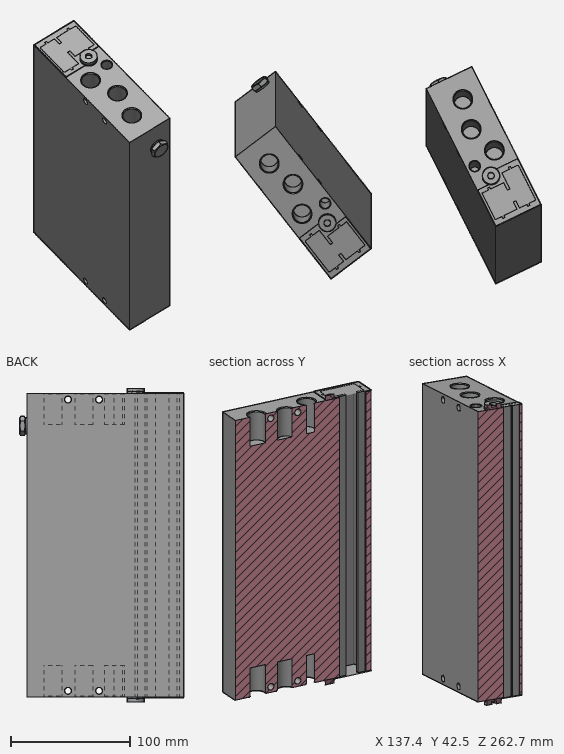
import cadquery as cq
import math


housing_width = 131.4
housing_depth = 42.5
overall_height = 262.7

plate_thickness = 0.65
plate_inset = 0.4
plate_corner_radius = 1.0
plate_back_width = 34.7
plate_front_width = 44.0
boss_height = 0.65
boss_diameter = 14.7
head_diameter = 14.5
head_height = 3.0
head_x = 40.2
head_y = 5.8
socket_diameter = 5.5
socket_depth = 2.4
cap_height = plate_thickness + boss_height + head_height
housing_height = overall_height - 2 * cap_height

channel_left = 5.5
back_chamber_right = 30.7
front_chamber_right = 39.0
channel_half_depth = 19.0
back_chamber_front = -1.3
front_chamber_back = -3.7
neck_left = 12.3
neck_right = 23.6
groove_depth = 1.8
groove_width = 1.8
back_groove_y = 11.8
front_groove_y = -11.5
front_chamber_radius = 1.0

port_diameter = 15.0
pilot_diameter = 8.7
port_depth = 26.3
port_chamfer = 0.8
pilot_chamfer = 0.5
port_places = [(58.8, -6.5), (83.5, 3.0), (109.5, -2.0)]
pilot_place = (54.0, 14.2)

mount_diameter = 5.5
mount_columns = [71.0, 97.0]
mount_z = 122.0

plug_length = 6.0
collar_diameter = 14.0
collar_length = 1.3
hex_across_flats = 14.2
hex_end_diameter = 13.1
hex_chamfer_angle = math.radians(30)
plug_y = 7.5
plug_z = 99.8


def box_between(x_min, x_max, y_min, y_max, z_min, z_max):
    """Axis-aligned box from its limits."""
    size = (x_max - x_min, y_max - y_min, z_max - z_min)
    return cq.Workplane("XY").box(*size, centered=False).translate((x_min, y_min, z_min))


def mirror_down(shape):
    """Copy of a feature of the top end, placed at the bottom end."""
    return shape.mirror("XY")


def wiring_channel():
    """Cutter for the channel that runs the full height of the housing."""
    z_limits = (-housing_height / 2, housing_height / 2)
    channel = box_between(
        channel_left, front_chamber_right, -channel_half_depth, front_chamber_back, *z_limits
    ).edges("|Z and <Y").fillet(front_chamber_radius)
    channel = channel.union(
        box_between(channel_left, back_chamber_right, back_chamber_front, channel_half_depth, *z_limits)
    )
    channel = channel.union(
        box_between(neck_left, neck_right, front_chamber_back, back_chamber_front, *z_limits)
    )
    for chamber_right, groove_y in (
        (back_chamber_right, back_groove_y),
        (front_chamber_right, front_groove_y),
    ):
        channel = channel.union(
            box_between(
                channel_left - groove_depth,
                chamber_right + groove_depth,
                groove_y - groove_width / 2,
                groove_y + groove_width / 2,
                *z_limits,
            )
        )
    return channel


def port(place, diameter, chamfer):
    """Cutter for a blind port with a chamfered mouth in the top end face."""
    radius = diameter / 2
    top = housing_height / 2
    profile = [
        (0, top - port_depth),
        (radius, top - port_depth),
        (radius, top - chamfer),
        (radius + chamfer, top),
        (0, top),
    ]
    cutter = cq.Workplane("XZ").polyline(profile).close().revolve(360, (0, 0, 0), (0, 1, 0))
    return cutter.translate((*place, 0))


def make_housing():
    """Block with the wiring channel, the ports and the mounting holes."""
    body = box_between(
        0, housing_width, -housing_depth / 2, housing_depth / 2, -housing_height / 2, housing_height / 2
    )
    body = body.cut(wiring_channel())
    cutters = [port(place, port_diameter, port_chamfer) for place in port_places]
    cutters.append(port(pilot_place, pilot_diameter, pilot_chamfer))
    for cutter in cutters:
        body = body.cut(cutter).cut(mirror_down(cutter))
    mount_places = [(x, z) for x in mount_columns for z in (-mount_z, mount_z)]
    mounts = (
        cq.Workplane("XZ")
        .pushPoints(mount_places)
        .circle(mount_diameter / 2)
        .extrude(housing_depth / 2, both=True)
    )
    return body.cut(mounts)


def make_end_cap():
    """Top end cap: plate, round boss, and fastening head with a socket."""
    plate_top = housing_height / 2 + plate_thickness
    edge_y = housing_depth / 2 - plate_inset
    plate = (
        cq.Workplane("XY", origin=(0, 0, housing_height / 2))
        .moveTo(plate_inset, -edge_y)
        .lineTo(plate_front_width, -edge_y)
        .lineTo(plate_front_width, head_y)
        .lineTo(plate_back_width, head_y)
        .lineTo(plate_back_width, edge_y)
        .lineTo(plate_inset, edge_y)
        .close()
        .extrude(plate_thickness)
    )
    plate = plate.edges("|Z and (<Y or >Y)").fillet(plate_corner_radius)
    boss = (
        cq.Workplane("XY", origin=(head_x, head_y, housing_height / 2))
        .circle(boss_diameter / 2)
        .extrude(plate_thickness + boss_height)
    )
    head = (
        cq.Workplane("XY", origin=(head_x, head_y, plate_top + boss_height))
        .circle(head_diameter / 2)
        .extrude(head_height)
        .faces(">Z")
        .workplane()
        .hole(socket_diameter, socket_depth)
    )
    return plate.union(boss).union(head)


def make_plug():
    """Hexagonal plug with a round collar; both rims of the hexagon are chamfered."""
    corner_diameter = hex_across_flats / math.cos(math.pi / 6)
    chamfer_run = (corner_diameter - hex_end_diameter) / 2
    chamfer_length = chamfer_run * math.tan(hex_chamfer_angle)
    hex_length = plug_length - collar_length
    prism = cq.Workplane("YZ").polygon(6, corner_diameter).extrude(hex_length)
    prism = prism.rotate((0, 0, 0), (1, 0, 0), 90)
    envelope = cq.Workplane("YZ").circle(corner_diameter / 2).extrude(hex_length)
    envelope = envelope.faces("<X or >X").chamfer(chamfer_length, chamfer_run)
    head = prism.intersect(envelope).translate((collar_length, 0, 0))
    collar = cq.Workplane("YZ").circle(collar_diameter / 2).extrude(collar_length)
    return collar.union(head).translate((housing_width, plug_y, plug_z))


housing = make_housing()
top_cap = make_end_cap()
bottom_cap = mirror_down(top_cap)
plug = make_plug()

result = cq.Compound.makeCompound([housing.val(), top_cap.val(), bottom_cap.val(), plug.val()])